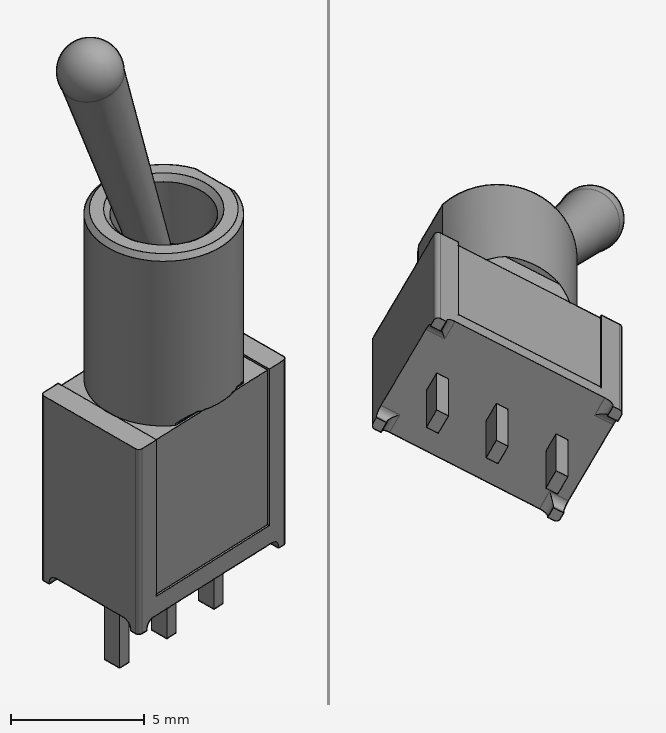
import cadquery as cq
import math


case_width = 5.1
case_depth = 8.0
case_height = 8.65
case_edge_radius = 0.18
foot_width = 0.45
foot_height = 0.45
foot_fillet = 0.35

base_inset = 0.1
base_depth = 6.1
base_bottom = 1.33
base_width = case_width - 2 * base_inset
base_top = case_height - base_inset

bushing_radius = 3.0
bushing_height = 7.82
bushing_top = case_height + bushing_height
flat_offset = 2.85
rim_chamfer = 0.2
bore_radius = 2.01
bore_chamfer = 0.25
bore_depth = 3.1
bore_floor = bushing_top - bore_depth
undercut_offset = 2.37
undercut_run = 0.4
undercut_rise = 0.35

pin_width = 0.8
pin_thickness = 0.5
pin_pitch = 2.55
pin_drop = 3.3

total_height = 29.63
total_depth = 9.25
ball_radius = 1.27
lever_tilt = 18.0
shank_taper = 2.6
shank_start = 0.33
lever_top = total_height - pin_drop
lever_reach = total_depth - case_depth / 2
ball_y = ball_radius - lever_reach
ball_z = lever_top - ball_radius


def make_case():
    """Block with rounded upright edges, crossed channels below and a slot for the base block."""
    block = (
        cq.Workplane("XY")
        .box(case_width, case_depth, case_height, centered=(True, True, False))
        .edges("|Z")
        .fillet(case_edge_radius)
    )
    inner_width = case_width - 2 * foot_width
    inner_depth = case_depth - 2 * foot_width
    channel_along_y = (
        cq.Workplane("XY")
        .box(inner_width, case_depth, foot_height, centered=(True, True, False))
        .edges("|Y and >Z")
        .fillet(foot_fillet)
    )
    channel_along_x = (
        cq.Workplane("XY")
        .box(case_width, inner_depth, foot_height, centered=(True, True, False))
        .edges("|X and >Z")
        .fillet(foot_fillet)
    )
    slot = (
        cq.Workplane("XY")
        .workplane(offset=base_bottom)
        .box(case_width, base_depth, case_height - base_bottom, centered=(True, True, False))
    )
    return block.cut(channel_along_y).cut(channel_along_x).cut(slot)


def make_undercut(side):
    """Clearance with a bevelled inner corner where the bushing overhangs one side of the case."""
    ceiling = case_height + undercut_rise
    return (
        cq.Workplane("XZ")
        .polyline([
            (side * undercut_offset, base_top),
            (side * undercut_offset, case_height),
            (side * (undercut_offset + undercut_run), ceiling),
            (side * bushing_radius, ceiling),
            (side * bushing_radius, base_top),
        ])
        .close()
        .extrude(bushing_radius, both=True)
    )


def make_flat_cut():
    """Tool that leaves a flat on the +Y side of the bushing, bevelled at the rim."""
    return (
        cq.Workplane("YZ")
        .polyline([
            (flat_offset, base_top),
            (flat_offset, bushing_top - rim_chamfer),
            (flat_offset - rim_chamfer, bushing_top),
            (bushing_radius, bushing_top),
            (bushing_radius, base_top),
        ])
        .close()
        .extrude(bushing_radius, both=True)
    )


def make_bushing():
    """Base block carrying a bored sleeve with a flat on its +Y side."""
    base = (
        cq.Workplane("XY")
        .workplane(offset=base_bottom)
        .box(base_width, base_depth, base_top - base_bottom, centered=(True, True, False))
    )
    sleeve = (
        cq.Workplane("XY")
        .workplane(offset=base_top)
        .circle(bushing_radius)
        .extrude(bushing_top - base_top)
    )
    bore = (
        cq.Workplane("XY")
        .workplane(offset=bore_floor)
        .circle(bore_radius)
        .extrude(bore_depth)
        .union(
            cq.Workplane("XY").add(cq.Solid.makeCone(
                bore_radius,
                bore_radius + bore_chamfer,
                bore_chamfer,
                cq.Vector(0, 0, bushing_top - bore_chamfer),
            ))
        )
    )
    sleeve = sleeve.faces(">Z").edges().chamfer(rim_chamfer)
    sleeve = sleeve.cut(bore).cut(make_flat_cut())
    for side in (-1, 1):
        sleeve = sleeve.cut(make_undercut(side))
    return base.union(sleeve)


def make_lever():
    """Tapered shank with a ball tip, tilted toward -Y and cut level with the bore floor."""
    shank_start_r = math.sqrt(ball_radius**2 - shank_start**2)
    shank_end = (ball_z - base_top) / math.cos(math.radians(lever_tilt))
    shank_end_r = shank_start_r - (shank_end - shank_start) * math.tan(math.radians(shank_taper))
    upright = (
        cq.Workplane("XZ")
        .moveTo(0, -shank_end)
        .lineTo(shank_end_r, -shank_end)
        .lineTo(shank_start_r, -shank_start)
        .threePointArc((ball_radius, 0), (0, ball_radius))
        .close()
        .revolve(360, (0, 0, 0), (0, 1, 0))
    )
    tilted = upright.rotate((0, 0, 0), (1, 0, 0), lever_tilt).translate((0, ball_y, ball_z))
    below_floor = (
        cq.Workplane("XY")
        .box(case_width, case_depth, bore_floor, centered=(True, True, False))
    )
    return tilted.cut(below_floor)


def make_pin(y):
    """Rectangular pin hanging from the underside of the case."""
    pin_length = pin_drop + foot_height
    return (
        cq.Workplane("XY")
        .workplane(offset=-pin_drop)
        .center(0, y)
        .rect(pin_width, pin_thickness)
        .extrude(pin_length)
    )


case = make_case()
bushing = make_bushing()
lever = make_lever()
pins = [make_pin(i * pin_pitch) for i in (-1, 0, 1)]

result = cq.Compound.makeCompound(
    [case.val(), bushing.val(), lever.val(), *[pin.val() for pin in pins]]
)